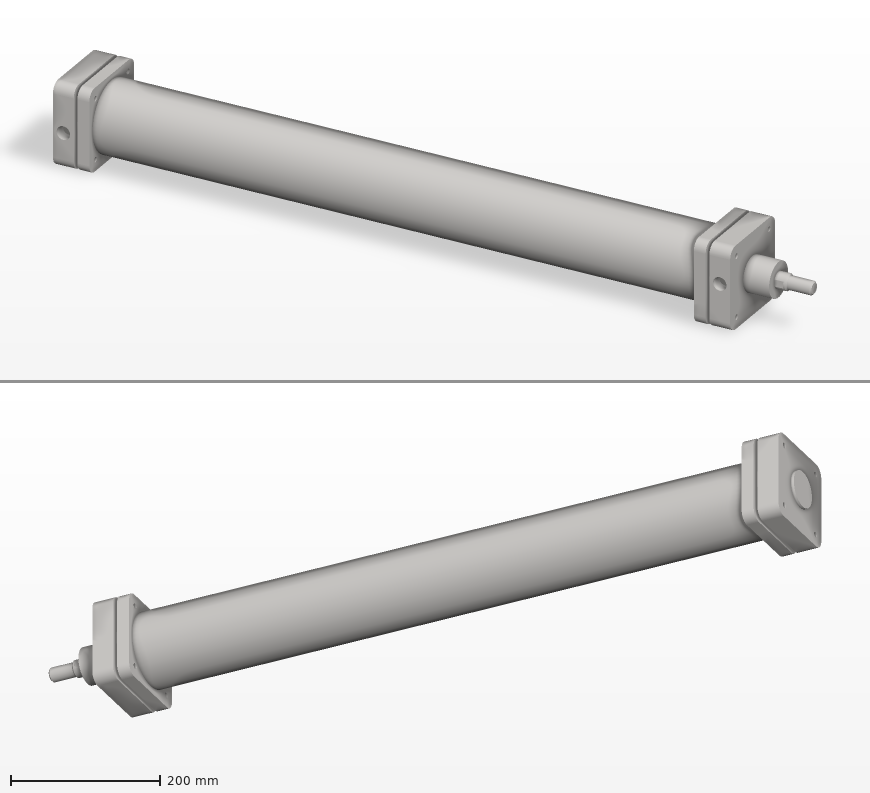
import cadquery as cq

total_length = 1131.0
spigot_length = 5.0
cap_length = 32.0
flange_gap = 6.0
flange_length = 18.0
front_cap_end = 1037.0
nose_length = 40.0
collar_length = 18.0

square_side = 125.0
corner_radius = 15.0
bolt_spacing = 92.0
bolt_hole_diameter = 8.0
cap_bolt_hole_depth = 23.0

tube_diameter = 107.0
boss_diameter = 53.0
rod_diameter = 25.0
flat_width = 23.0
flat_length = 14.0
thread_diameter = 20.0
thread_chamfer = 2.0
rod_chamfer = (rod_diameter - thread_diameter) / 2

port_diameter = 20.0
port_depth = 17.0
port_offset = 8.0

rear_cap_start = spigot_length
rear_cap_end = rear_cap_start + cap_length
front_cap_start = front_cap_end - cap_length
rear_flange_start = rear_cap_end + flange_gap
front_flange_start = front_cap_start - flange_gap - flange_length
nose_end = front_cap_end + nose_length
collar_end = nose_end + collar_length


def rod_along_x(start, end, diameter):
    """Round bar on the X axis."""
    return cq.Workplane("YZ", origin=(start, 0, 0)).circle(diameter / 2).extrude(end - start)


def square_plate(start, length):
    """Square plate with rounded corners, its thickness along X."""
    plate = cq.Workplane("YZ", origin=(start, 0, 0)).rect(square_side, square_side).extrude(length)
    return plate.edges("|X").fillet(corner_radius)


def bolt_holes(start, depth):
    """Cutter for the four bolt holes, from X = start to start + depth."""
    return (
        cq.Workplane("YZ", origin=(start, 0, 0))
        .rect(bolt_spacing, bolt_spacing, forConstruction=True)
        .vertices()
        .circle(bolt_hole_diameter / 2)
        .extrude(depth)
    )


def make_cap(start, port_height, bolt_hole_start, boss):
    """End cap: plate with a round boss, blind bolt holes and a blind air port in its -Y side."""
    port = (
        cq.Workplane("XZ", origin=(start + cap_length / 2, -square_side / 2, port_height))
        .circle(port_diameter / 2)
        .extrude(-port_depth)
    )
    plate = square_plate(start, cap_length).union(boss)
    return plate.cut(bolt_holes(bolt_hole_start, cap_bolt_hole_depth)).cut(port)


def make_flange(start):
    """Flange ring fitted around the tube, with through bolt holes."""
    tube_bore = rod_along_x(start, start + flange_length, tube_diameter)
    return square_plate(start, flange_length).cut(bolt_holes(start, flange_length)).cut(tube_bore)


def make_piston_rod():
    """Rod end: collar with two wrench flats, then the chamfered threaded end."""
    collar = rod_along_x(nose_end, collar_end, rod_diameter).faces(">X").chamfer(rod_chamfer)
    across_flats = cq.Workplane("XY", origin=(nose_end + flat_length / 2, 0, 0)).box(
        flat_length, flat_width, rod_diameter
    )
    flat_zone = rod_along_x(nose_end, nose_end + flat_length, rod_diameter)
    collar = collar.cut(flat_zone.cut(across_flats))
    thread = rod_along_x(collar_end, total_length, thread_diameter).faces(">X").chamfer(thread_chamfer)
    return collar.union(thread)


spigot = rod_along_x(0, rear_cap_end, boss_diameter)
nose = rod_along_x(front_cap_start, nose_end, boss_diameter)
rear_cap = make_cap(rear_cap_start, -port_offset, rear_cap_start, spigot)
front_cap = make_cap(front_cap_start, port_offset, front_cap_end - cap_bolt_hole_depth, nose)
tube = rod_along_x(rear_cap_end, front_cap_start, tube_diameter)
flanges = [make_flange(start) for start in (rear_flange_start, front_flange_start)]
piston_rod = make_piston_rod()

result = cq.Compound.makeCompound(
    [rear_cap.val(), front_cap.val(), tube.val(), *[flange.val() for flange in flanges], piston_rod.val()]
)